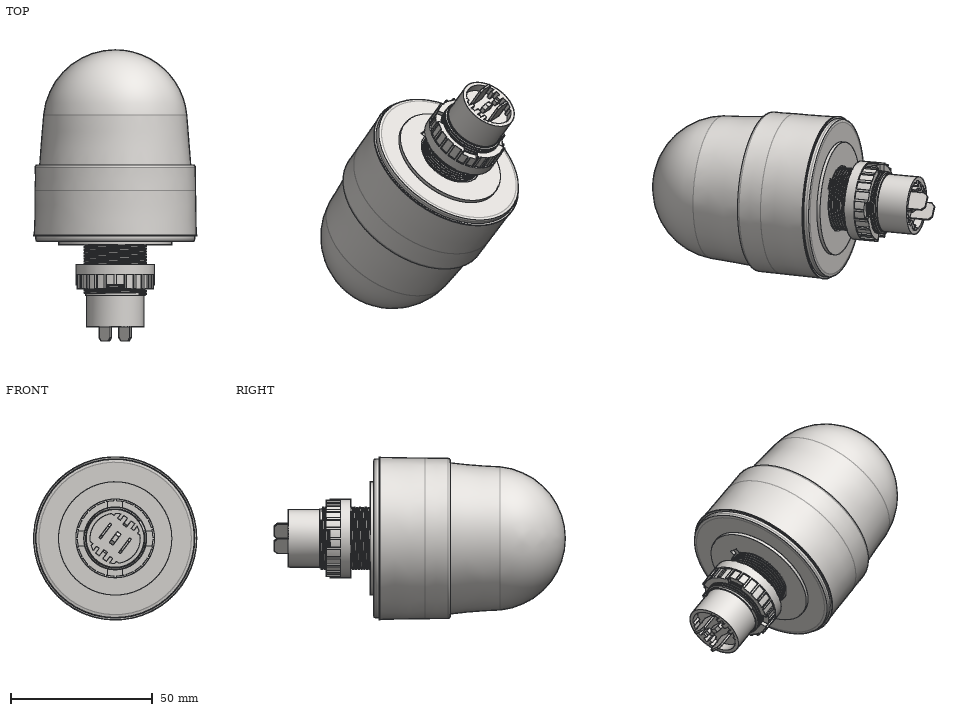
import cadquery as cq
import math


DOME_TIP = 68.9
DOME_SEAM = 45.9
DOME_SEAM_R = 25.3
DOME_BASE_R = 26.7
BODY_TOP = 28.3
BODY_TOP_R = 28.3
BODY_TOP_FILLET = 0.9
BODY_SEAM = 19.3
BODY_SEAM_R = 28.4
BODY_BASE_R = 28.65
LIP_R = 28.815
LIP_BACK = 3.5
LIP_FRONT = 3.1
GASKET_R = 28.1
GASKET_EDGE = 2.1
GASKET_CONE_R = 27.9
GASKET_CONE_END = 1.35
BASE_FACE_R = 26.9
BASE_FACE = 1.2
PAD_R = 20.0

THREAD_R = 11.0
THREAD_ROOT_R = 10.45
THREAD_PITCH = 1.0
THREAD_END = 17.9
THREAD_LEAD_IN = 1.0
THREAD_ROOT_WIDTH = 0.96
THREAD_CREST_WIDTH = 0.4
THREAD_OVERLAP = 0.15

RECESS_R = 11.6
RECESS_DEPTH = BASE_FACE
KEYWAY_REACH = 13.3
KEYWAY_WIDTH = 3.7

NUT_R = 13.9
NUT_BORE_R = 11.1
NUT_WEB_START = 8.0
NUT_WEB_END = 13.0
NUT_START = 6.8
NUT_SHOULDER = 10.45
NUT_NOTCH_FLOOR = 14.1
NUT_END = 15.5
NOTCH_WIDTH = 5.3
NOTCH_COUNT = 4
GRIP_R = 13.3
RIB_COUNT = 24
RIB_WIDTH = 0.8

SHELL_R = 10.2
SHELL_END = 28.9
SOCKET_R = 8.85
SOCKET_DEPTH = 3.0
SOCKET_HALF_HEIGHT = 6.2
SLOT_TOP = 8.3
SLOT_SPANS = ((0.8, 2.4), (3.6, 5.2))
KEY_TOOTH_WIDTH = 1.6
KEY_TOOTH_TIP = 5.6
KEY_TOOTH_CHAMFER = 1.4

BLADE_TIP = 33.9
BLADE_LENGTH = 6.4
BLADE_THICKNESS = 0.75
BLADE_OFFSET = 4.35
BLADE_CHAMFER = 1.2
EARTH_LENGTH = 4.8
EARTH_THICKNESS = 1.6
CONNECTOR_ANGLE = -37.0
KEYWAY_ANGLE = 180.0 + CONNECTOR_ANGLE

OVERLAP = 1.0


def cylinder(radius, start, end):
    return cq.Workplane("XY").workplane(offset=start).circle(radius).extrude(end - start)


def box(x_range, y_range, z_range):
    size = [high - low for low, high in (x_range, y_range, z_range)]
    corner = (x_range[0], y_range[0], z_range[0])
    return cq.Workplane("XY").box(*size, centered=False).translate(corner)


def around_axis(shape, angle):
    return shape.rotate((0, 0, 0), (0, 0, 1), angle)


def lamp():
    """Dome, tapered body, gasket and mounting pad as one turned shape."""
    rise = DOME_TIP - DOME_SEAM
    sphere_r = (DOME_SEAM_R**2 + rise**2) / (2 * rise)
    half_angle = math.asin(DOME_SEAM_R / sphere_r) / 2
    arc_middle = (
        sphere_r * math.sin(half_angle),
        -DOME_TIP + sphere_r * (1 - math.cos(half_angle)),
    )
    corner = BODY_TOP_FILLET * (1 - math.sqrt(0.5))
    profile = (
        cq.Workplane("XZ")
        .moveTo(0, -DOME_TIP)
        .threePointArc(arc_middle, (DOME_SEAM_R, -DOME_SEAM))
        .lineTo(DOME_BASE_R, -BODY_TOP)
        .lineTo(BODY_TOP_R - BODY_TOP_FILLET, -BODY_TOP)
        .threePointArc(
            (BODY_TOP_R - corner, -BODY_TOP + corner),
            (BODY_TOP_R, -BODY_TOP + BODY_TOP_FILLET),
        )
        .lineTo(BODY_SEAM_R, -BODY_SEAM)
        .lineTo(BODY_BASE_R, -LIP_BACK)
        .lineTo(LIP_R, -LIP_BACK)
        .lineTo(LIP_R, -LIP_FRONT)
        .lineTo(GASKET_R, -LIP_FRONT)
        .lineTo(GASKET_R, -GASKET_EDGE)
        .lineTo(GASKET_CONE_R, -GASKET_CONE_END)
        .lineTo(BASE_FACE_R, -BASE_FACE)
        .lineTo(PAD_R, -BASE_FACE)
        .lineTo(PAD_R, 0)
        .lineTo(0, 0)
        .close()
    )
    return profile.revolve(360, (0, 0, 0), (0, 1, 0))


def threaded_stem():
    """Root cylinder with a helical ridge that tapers at the free end."""
    start = THREAD_PITCH / 2 - RECESS_DEPTH
    root_r = THREAD_ROOT_R - THREAD_OVERLAP
    helix_height = THREAD_END - THREAD_PITCH / 2 - start
    helix = cq.Wire.makeHelix(THREAD_PITCH, helix_height, root_r, cq.Vector(0, 0, start))
    ridge = (
        cq.Workplane("XZ")
        .polyline(
            [
                (root_r, start - THREAD_ROOT_WIDTH / 2),
                (THREAD_R, start - THREAD_CREST_WIDTH / 2),
                (THREAD_R, start + THREAD_CREST_WIDTH / 2),
                (root_r, start + THREAD_ROOT_WIDTH / 2),
            ]
        )
        .close()
        .sweep(cq.Workplane(helix), isFrenet=True)
    )
    envelope = (
        cylinder(THREAD_R + OVERLAP, -RECESS_DEPTH - OVERLAP, THREAD_END)
        .faces(">Z")
        .chamfer(THREAD_LEAD_IN, THREAD_R + OVERLAP - SHELL_R)
    )
    core = cylinder(THREAD_ROOT_R, -RECESS_DEPTH - OVERLAP, THREAD_END)
    return core.union(ridge).intersect(envelope)


def pad_recess():
    depth_range = (-RECESS_DEPTH, OVERLAP)
    keyway = box((0, KEYWAY_REACH), (-KEYWAY_WIDTH / 2, KEYWAY_WIDTH / 2), depth_range)
    return cylinder(RECESS_R, *depth_range).union(around_axis(keyway, KEYWAY_ANGLE))


def nut():
    """Plain collar followed by a ribbed grip with four notches in its end."""
    collar = cylinder(NUT_R, NUT_START, NUT_SHOULDER)
    grip = cylinder(GRIP_R, NUT_SHOULDER, NUT_END)
    rib = box((GRIP_R - OVERLAP, NUT_R), (-RIB_WIDTH / 2, RIB_WIDTH / 2), (NUT_SHOULDER, NUT_END))
    rib = rib.intersect(cylinder(NUT_R, NUT_SHOULDER, NUT_END))
    for i in range(RIB_COUNT):
        grip = grip.union(around_axis(rib, i * 360 / RIB_COUNT))
    ring = collar.union(grip).cut(cylinder(NUT_BORE_R, NUT_START, NUT_END))
    notch = box((0, NUT_R + OVERLAP), (-NOTCH_WIDTH / 2, NOTCH_WIDTH / 2), (NUT_NOTCH_FLOOR, NUT_END))
    for i in range(NOTCH_COUNT):
        ring = ring.cut(around_axis(notch, i * 360 / NOTCH_COUNT))
    return ring.union(cylinder(NUT_BORE_R, NUT_WEB_START, NUT_WEB_END))


def socket():
    """Round pocket with two flat sides, each side slotted and carrying a chamfered tooth."""
    floor = SHELL_END - SOCKET_DEPTH
    depth_range = (floor, SHELL_END)
    pocket = cylinder(SOCKET_R, *depth_range).intersect(
        box((-SOCKET_R, SOCKET_R), (-SOCKET_HALF_HEIGHT, SOCKET_HALF_HEIGHT), depth_range)
    )
    tooth = (
        box((-KEY_TOOTH_WIDTH / 2, KEY_TOOTH_WIDTH / 2), (KEY_TOOTH_TIP, SLOT_TOP), depth_range)
        .edges("<Y and >Z")
        .chamfer(KEY_TOOTH_CHAMFER)
    )
    for side_angle in (0, 180):
        for inner, outer in SLOT_SPANS:
            for span in ((inner, outer), (-outer, -inner)):
                slot = box(span, (0, SLOT_TOP), depth_range).intersect(cylinder(SOCKET_R, *depth_range))
                pocket = pocket.union(around_axis(slot, side_angle))
        pocket = pocket.cut(around_axis(tooth, side_angle))
    return pocket


def blade(thickness, length, tip):
    root = SHELL_END - SOCKET_DEPTH - OVERLAP
    plate = box((-thickness / 2, thickness / 2), (-length / 2, length / 2), (root, tip))
    return plate.edges("|X and >Z").chamfer(BLADE_CHAMFER)


def connector():
    """Shell with its socket, two protruding blades and an earth blade flush with the rim."""
    shell = cylinder(SHELL_R, THREAD_END - OVERLAP, SHELL_END).cut(socket())
    for side in (-1, 1):
        contact = blade(BLADE_THICKNESS, BLADE_LENGTH, BLADE_TIP)
        shell = shell.union(contact.translate((side * BLADE_OFFSET, 0, 0)))
    shell = shell.union(blade(EARTH_THICKNESS, EARTH_LENGTH, SHELL_END))
    return around_axis(shell, CONNECTOR_ANGLE)


part = lamp().cut(pad_recess())
part = part.union(threaded_stem())
part = part.union(connector())
part = part.union(nut())
result = part.rotate((0, 0, 0), (1, 0, 0), 90)